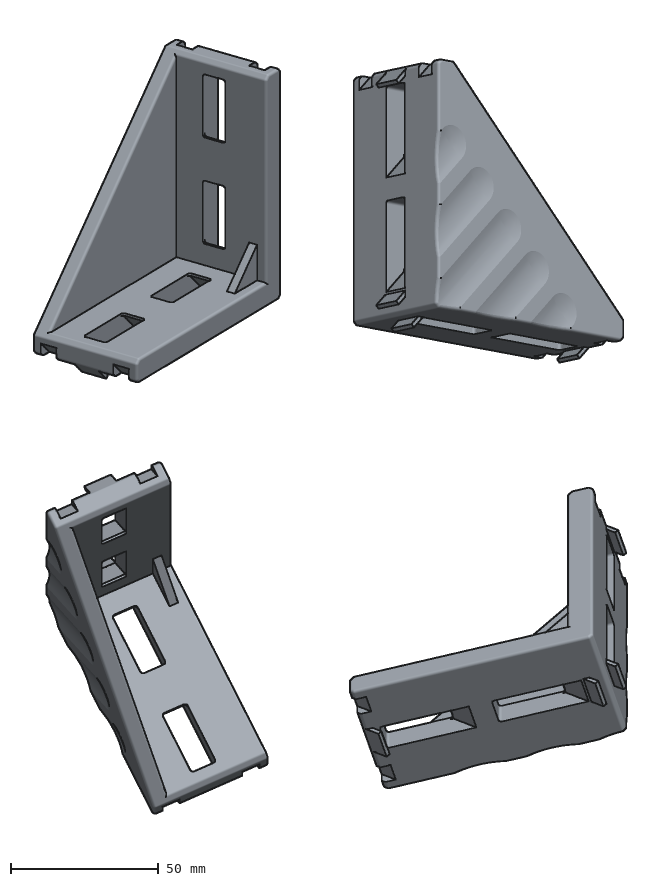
import cadquery as cq
import math

width = 43.0
overall_length = 90.2
leg = 86.0
end_height = 7.4
plate_thickness = 9.0
wall_thickness = 6.0
corner_chamfer = 1.35
edge_radius = 1.0

slot_width = 9.2
slot_length = 23.55
slot_centers = (28.8, 68.4)
slot_corner_radius = 1.0
slot_lip = 1.0

tab_width = 10.0
tab_thickness = 1.5
tab_reach = overall_length - leg
tab_starts = (8.1, leg - corner_chamfer)

notch_width = 6.4
notch_spacing = 29.9
notch_height = 5.05

gusset_start = 36.0
gusset_width = 3.25
gusset_reach = 22.3

groove_count = 5
groove_spacing = 18.05
groove_end_distance = 45.1
groove_half_width = 6.3
groove_depth = 1.1

corner_bisector_normal = cq.Vector(0, 1, 1)
overlap = 0.9


def prism(points, x_start, x_length):
    """Extrude a (distance from back, height) outline along X."""
    outline = [(-back, height) for back, height in points]
    return cq.Workplane("YZ", origin=(x_start, 0, 0)).polyline(outline).close().extrude(x_length)


def on_both_plates(feature):
    """Add the twin of a bottom-plate feature on the upright plate."""
    return feature.union(feature.mirror(corner_bisector_normal))


def make_body():
    c = corner_chamfer
    body = prism(
        [
            (c, 0), (leg - c, 0), (leg, c), (leg, end_height),
            (end_height, leg), (c, leg), (0, leg - c), (0, c),
        ],
        0,
        width,
    )
    cavity = prism(
        [(plate_thickness, plate_thickness), (2 * leg, plate_thickness), (plate_thickness, 2 * leg)],
        wall_thickness,
        width,
    )
    body = body.cut(cavity).cut(make_grooves())
    rounded_faces = (
        "<Y or >Y or <Z or >Z or >X"
        " or >(0,-1,1) or <(0,-1,1) or >(0,1,1) or <(0,1,1)"
    )
    return body.faces(rounded_faces).edges().fillet(edge_radius)


def make_slots():
    slots = (
        cq.Workplane("XY")
        .pushPoints([(width / 2, -center) for center in slot_centers])
        .rect(slot_width, slot_length)
        .extrude(plate_thickness + overlap)
        .edges("|Z")
        .fillet(slot_corner_radius)
        .translate((0, 0, -overlap / 2))
    )
    flare_top = plate_thickness - slot_lip
    for center in slot_centers:
        near_end = center - slot_length / 2
        flare = [
            (near_end, flare_top),
            (near_end - flare_top - overlap, -overlap),
            (center, -overlap),
            (center, flare_top),
        ]
        slots = slots.union(prism(flare, (width - slot_width) / 2, slot_width))
    return on_both_plates(slots)


def make_tabs():
    root_length = tab_thickness * math.sqrt(2)
    tip_offset = tab_thickness / math.sqrt(2)
    tabs = cq.Workplane()
    for start in tab_starts:
        tip = start - tab_reach
        outline = [
            (start + overlap, overlap), (tip, -tab_reach),
            (tip - tip_offset, -tab_reach + tip_offset), (start - root_length + overlap, overlap),
        ]
        tabs = tabs.union(prism(outline, (width - tab_width) / 2, tab_width))
    return on_both_plates(tabs)


def make_notches():
    notches = cq.Workplane()
    outline = [
        (leg + overlap, notch_height + overlap),
        (leg - notch_height - overlap, -overlap),
        (leg + overlap, -overlap),
    ]
    for side in (-1, 1):
        x_start = (width + side * notch_spacing - notch_width) / 2
        notches = notches.union(prism(outline, x_start, notch_width))
    return on_both_plates(notches)


def make_gusset():
    foot = plate_thickness - overlap
    return prism(
        [(foot, foot), (gusset_reach + overlap, foot), (foot, gusset_reach + overlap)],
        gusset_start,
        gusset_width,
    )


def make_grooves():
    radius = (groove_half_width**2 + groove_depth**2) / (2 * groove_depth)
    axis_x = groove_depth - radius
    toward_corner = cq.Vector(0, 1, -1).normalized()
    grooves = cq.Workplane()
    for index in range(groove_count):
        offset = (index - (groove_count - 1) / 2) * groove_spacing
        end = (
            axis_x,
            -(groove_end_distance - offset) / math.sqrt(2),
            (groove_end_distance + offset) / math.sqrt(2),
        )
        plane = cq.Plane(origin=end, xDir=(1, 0, 0), normal=toward_corner.toTuple())
        grooves = grooves.union(cq.Workplane(plane).circle(radius).extrude(leg))
        grooves = grooves.union(cq.Workplane(plane).sphere(radius))
    return grooves


result = (
    make_body()
    .union(make_gusset())
    .cut(make_slots())
    .cut(make_notches())
    .union(make_tabs())
)